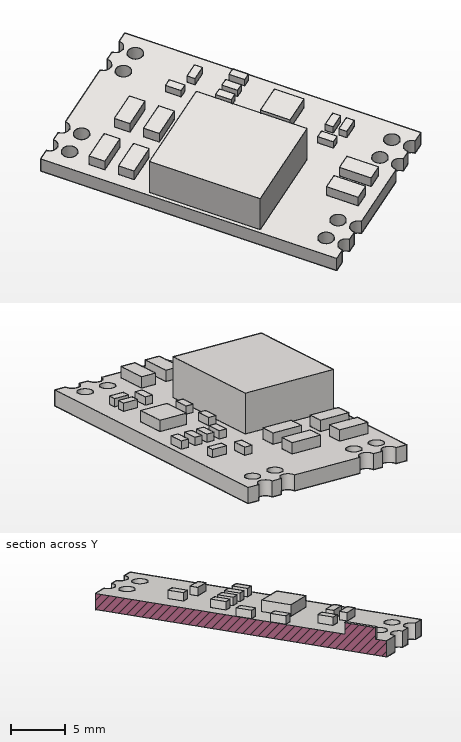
import cadquery as cq

BOARD_LENGTH = 30.0
BOARD_WIDTH = 18.0
BOARD_THICKNESS = 1.6
TOTAL_HEIGHT = 5.6

TERMINAL_DIAMETER = 1.5
HOLE_INSET = 2.0
OUTER_TERMINAL_Y = 7.02
TERMINAL_PITCH = 2.55
INNER_TERMINAL_Y = OUTER_TERMINAL_Y - TERMINAL_PITCH

INDUCTOR_SIZE = (11.22, 10.02, TOTAL_HEIGHT - BOARD_THICKNESS)
CHIP_SIZE = (3.0, 3.0, 1.1)
CAPACITOR_SIZE = (3.2, 1.6, 1.1)
RESISTOR_SIZE = (1.6, 0.8, 0.8)

INDUCTOR_CENTER = (1.47, -3.63)
CHIP_CENTER = (2.45, 5.82)

INPUT_CAPACITOR_COLUMNS = (-9.87, -6.9)
INPUT_CAPACITOR_ROWS = (-0.78, -6.15)
OUTPUT_CAPACITOR_X = 12.27
OUTPUT_CAPACITOR_ROWS = (1.53, -1.23)

RESISTOR_COLUMN_X = -2.95
RESISTOR_COLUMN_ROWS = (7.92, 6.4, 5.05, 3.63)
LOWER_RESISTOR_Y = 2.45
LOWER_RESISTOR_COLUMNS = (0.3, 3.8)
SIDE_RESISTOR_Y = 4.15
SIDE_RESISTOR_COLUMNS = (-7.6, 7.83)
LEFT_UPRIGHT_RESISTOR = (-6.72, 6.48)
UPRIGHT_PAIR_Y = 6.27
UPRIGHT_PAIR_COLUMNS = (7.38, 8.75)


def turned(size):
    """Swap the X and Y sizes of a component body."""
    length, width, height = size
    return (width, length, height)


def grid(columns, rows):
    """Centres at every crossing of the given X columns and Y rows."""
    return [(x, y) for x in columns for y in rows]


def make_board():
    """Plain board with through holes and end notches at all the terminals."""
    end_x = BOARD_LENGTH / 2
    hole_x = end_x - HOLE_INSET
    columns = (-end_x, -hole_x, hole_x, end_x)
    rows = (-OUTER_TERMINAL_Y, -INNER_TERMINAL_Y, INNER_TERMINAL_Y, OUTER_TERMINAL_Y)
    board = cq.Workplane("XY").box(
        BOARD_LENGTH, BOARD_WIDTH, BOARD_THICKNESS, centered=(True, True, False)
    )
    cutters = (
        cq.Workplane("XY")
        .pushPoints(grid(columns, rows))
        .circle(TERMINAL_DIAMETER / 2)
        .extrude(BOARD_THICKNESS)
    )
    return board.cut(cutters)


def make_components(size, centers):
    """Identical rectangular bodies standing on the board's top face."""
    length, width, height = size
    return (
        cq.Workplane("XY")
        .workplane(offset=BOARD_THICKNESS)
        .pushPoints(centers)
        .rect(length, width)
        .extrude(height)
    )


input_capacitors = grid(INPUT_CAPACITOR_COLUMNS, INPUT_CAPACITOR_ROWS)
output_capacitors = grid((OUTPUT_CAPACITOR_X,), OUTPUT_CAPACITOR_ROWS)
flat_resistors = (
    grid((RESISTOR_COLUMN_X,), RESISTOR_COLUMN_ROWS)
    + grid(LOWER_RESISTOR_COLUMNS, (LOWER_RESISTOR_Y,))
    + grid(SIDE_RESISTOR_COLUMNS, (SIDE_RESISTOR_Y,))
)
upright_resistors = [LEFT_UPRIGHT_RESISTOR] + grid(UPRIGHT_PAIR_COLUMNS, (UPRIGHT_PAIR_Y,))

component_groups = (
    (INDUCTOR_SIZE, [INDUCTOR_CENTER]),
    (CHIP_SIZE, [CHIP_CENTER]),
    (turned(CAPACITOR_SIZE), input_capacitors),
    (CAPACITOR_SIZE, output_capacitors),
    (RESISTOR_SIZE, flat_resistors),
    (turned(RESISTOR_SIZE), upright_resistors),
)

result = make_board()
for body_size, body_centers in component_groups:
    result = result.union(make_components(body_size, body_centers))